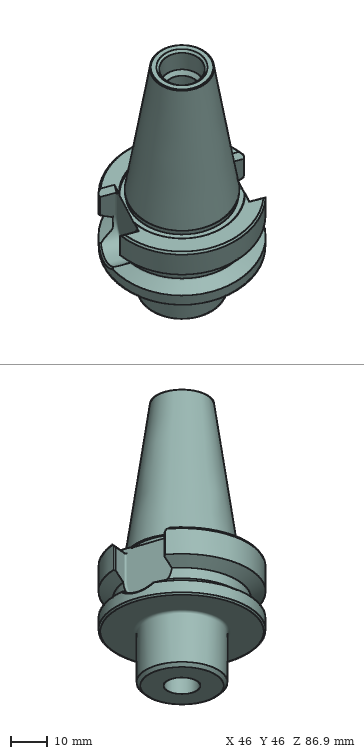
import cadquery as cq
import math

total_height = 86.9
flange_radius = 46.0 / 2

shank_radius = 25.0 / 2
shank_chamfer = 1.0
shank_root_fillet = 0.9

flange_bottom = 16.7
flange_top = 37.5
rim_top = 20.85
collar_bottom = 29.0
groove_radius = 19.0
groove_side_angle = 30.0
groove_root_bevel = 0.35
flange_chamfer = 0.5
collar_chamfer_height = 0.7

recess_radius = 17.4
recess_depth = 0.35
recess_chamfer = 0.3

neck_radius = 31.1 / 2
taper_bottom = 38.9
taper_bottom_radius = 15.8
taper_slope = 7 / 48
taper_chamfer = 0.3

through_radius = 10.1 / 2
bore_radius = 12.5 / 2
bore_depth = 7.2
bore_step_angle = 45.0
bore_mouth_radius = 7.0
bore_mouth_depth = 0.7

slot_half_width = 8.0
slot_floor = 16.25
slot_arc_height = 27.5
slot_floor_fillet = 0.5
slot_edge_chamfer = 0.5
slot_mouth_chamfer = 1.6


def make_body():
    """Revolve the outer profile of shank, flange and taper."""
    groove_side_height = (flange_radius - groove_radius) * math.tan(math.radians(groove_side_angle))
    recess_floor = flange_top - recess_depth
    taper_top_radius = taper_bottom_radius - taper_slope * (total_height - taper_bottom)
    profile = (
        cq.Workplane("XZ")
        .lineTo(shank_radius - shank_chamfer, 0)
        .lineTo(shank_radius, shank_chamfer)
        .lineTo(shank_radius, flange_bottom - shank_root_fillet)
        .radiusArc((shank_radius + shank_root_fillet, flange_bottom), shank_root_fillet)
        .lineTo(flange_radius - flange_chamfer, flange_bottom)
        .lineTo(flange_radius, flange_bottom + flange_chamfer)
        .lineTo(flange_radius, rim_top)
        .lineTo(groove_radius + groove_root_bevel, rim_top + groove_side_height)
        .lineTo(groove_radius, rim_top + groove_side_height + groove_root_bevel)
        .lineTo(groove_radius, collar_bottom - groove_side_height)
        .lineTo(flange_radius, collar_bottom)
        .lineTo(flange_radius, flange_top - collar_chamfer_height)
        .lineTo(flange_radius - flange_chamfer, flange_top)
        .lineTo(recess_radius, flange_top)
        .lineTo(recess_radius - recess_chamfer, recess_floor)
        .lineTo(neck_radius, recess_floor)
        .lineTo(neck_radius, taper_bottom - (taper_bottom_radius - neck_radius))
        .lineTo(taper_bottom_radius, taper_bottom)
        .lineTo(taper_top_radius + taper_slope * taper_chamfer, total_height - taper_chamfer)
        .lineTo(taper_top_radius - taper_chamfer, total_height)
        .lineTo(0, total_height)
        .close()
    )
    return profile.revolve(360, (0, 0, 0), (0, 1, 0))


def make_bore():
    """Revolve the through hole, its conical step and the chamfered mouth."""
    step_top = total_height - bore_depth
    step_height = (bore_radius - through_radius) / math.tan(math.radians(bore_step_angle))
    profile = (
        cq.Workplane("XZ")
        .lineTo(through_radius, 0)
        .lineTo(through_radius, step_top - step_height)
        .lineTo(bore_radius, step_top)
        .lineTo(bore_radius, total_height - bore_mouth_depth)
        .lineTo(bore_mouth_radius, total_height)
        .lineTo(0, total_height)
        .close()
    )
    return profile.revolve(360, (0, 0, 0), (0, 1, 0))


def make_slot():
    """Round-bottomed slot on the -Y side with a filleted floor and a flared mouth."""
    depth = flange_radius - slot_floor + 0.9
    above_flange = flange_top + 2 * slot_floor_fillet
    floor_plane = cq.Workplane("XZ", origin=(0, -slot_floor, 0))
    slot = (
        floor_plane
        .moveTo(-slot_half_width, above_flange)
        .lineTo(-slot_half_width, slot_arc_height)
        .threePointArc((0, slot_arc_height - slot_half_width), (slot_half_width, slot_arc_height))
        .lineTo(slot_half_width, above_flange)
        .close()
        .extrude(depth)
    )
    slot = slot.faces(">Y").edges("not >Z").fillet(slot_floor_fillet)
    mouth_half_width = slot_half_width + slot_mouth_chamfer
    mouth = (
        floor_plane
        .moveTo(-slot_half_width, flange_top - slot_mouth_chamfer)
        .lineTo(-mouth_half_width, flange_top)
        .lineTo(-mouth_half_width, above_flange)
        .lineTo(mouth_half_width, above_flange)
        .lineTo(mouth_half_width, flange_top)
        .lineTo(slot_half_width, flange_top - slot_mouth_chamfer)
        .close()
        .extrude(depth)
    )
    return slot.union(mouth)


def break_slot_edges(part):
    """Chamfer the slot edges on the outer cylinder: two walls and one arc per slot."""
    slot_bottom = slot_arc_height - slot_half_width
    wall_y = math.sqrt(flange_radius**2 - slot_half_width**2)
    tolerance = 0.1
    for side in (-1, 1):
        for wall_x in (-slot_half_width, slot_half_width):
            box = cq.selectors.BoxSelector(
                (wall_x - tolerance, side * wall_y - tolerance, collar_bottom - 0.9),
                (wall_x + tolerance, side * wall_y + tolerance, flange_top),
            )
            part = part.edges("|Z").edges(box).chamfer(slot_edge_chamfer)
        arc_box = cq.selectors.BoxSelector(
            (-slot_half_width, side * flange_radius - 0.9, slot_bottom - tolerance),
            (slot_half_width, side * flange_radius + 0.9, rim_top - tolerance),
        )
        part = part.edges(arc_box).chamfer(slot_edge_chamfer)
    return part


slot = make_slot()
part = make_body().cut(slot).cut(slot.mirror("XZ"))
part = break_slot_edges(part)
result = part.cut(make_bore())